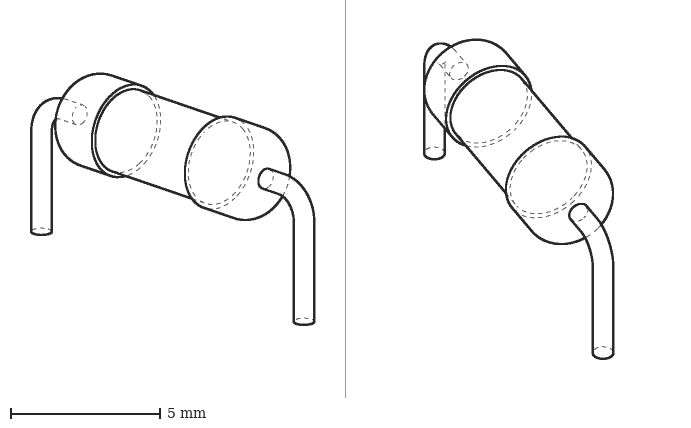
import cadquery as cq

overall_length = 13.4
lead_diameter = 0.7
body_length = 9.0
cap_diameter = 3.2
barrel_diameter = 2.88
overall_height = 6.2

cap_length = body_length / 4
cap_rounding = cap_diameter / 4
bend_radius = 1.5 * lead_diameter
lead_x = (overall_length - lead_diameter) / 2
lead_bottom_z = cap_diameter / 2 - overall_height
barrel_length = body_length - 2 * cap_length


def make_body():
    """Barrel with a wider cap at each end, rounded on the outer rims."""
    body = (
        cq.Workplane("YZ", origin=(-body_length / 2, 0, 0))
        .circle(cap_diameter / 2)
        .extrude(body_length)
    )
    body = body.faces("<X or >X").edges().fillet(cap_rounding)
    waist = (
        cq.Workplane("YZ", origin=(-barrel_length / 2, 0, 0))
        .circle(cap_diameter / 2)
        .circle(barrel_diameter / 2)
        .extrude(barrel_length)
    )
    return body.cut(waist)


def make_lead():
    """Round wire leaving the +X cap and bending down through a right angle."""
    start_x = body_length / 2 - cap_length / 2
    bend_start_x = lead_x - bend_radius
    path = (
        cq.Workplane("XZ")
        .moveTo(start_x, 0)
        .lineTo(bend_start_x, 0)
        .tangentArcPoint((lead_x, -bend_radius), relative=False)
        .lineTo(lead_x, lead_bottom_z)
    )
    return cq.Workplane("YZ", origin=(start_x, 0, 0)).circle(lead_diameter / 2).sweep(path)


lead = make_lead()
result = make_body().union(lead).union(lead.mirror("YZ"))